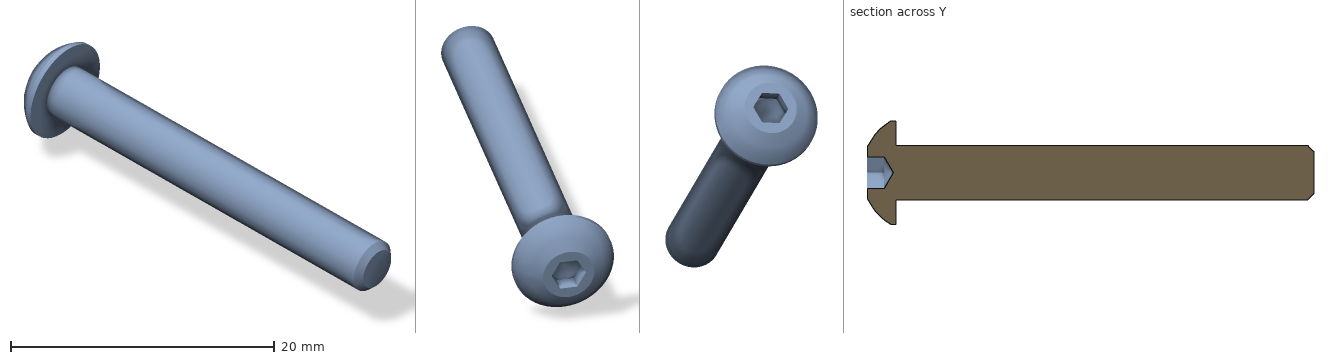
import cadquery as cq
import math

total_length = 33.95
head_diameter = 7.9
head_height = 2.2
head_rim_width = 0.4
head_face_diameter = 4.0
dome_bulge = 0.2

shank_diameter = 4.2
tip_chamfer = 0.5

socket_across_flats = 2.35
socket_depth = 1.3
socket_cone_half_angle = 60.0

middle = total_length / 2
head_start = -middle
head_end = head_start + head_height
rim_start = head_end - head_rim_width
head_radius = head_diameter / 2
face_radius = head_face_diameter / 2
shank_radius = shank_diameter / 2
socket_across_corners = socket_across_flats / math.cos(math.radians(30))


def dome_arc_middle():
    """Point on the dome, pushed outwards from the middle of its chord."""
    run = rim_start - head_start
    rise = head_radius - face_radius
    chord = math.hypot(run, rise)
    x = (head_start + rim_start) / 2 - dome_bulge * rise / chord
    radius = (face_radius + head_radius) / 2 + dome_bulge * run / chord
    return x, radius


def make_body():
    """Button head, shank and chamfered tip, revolved about X."""
    return (
        cq.Workplane("XY")
        .moveTo(head_start, 0)
        .lineTo(head_start, face_radius)
        .threePointArc(dome_arc_middle(), (rim_start, head_radius))
        .lineTo(head_end, head_radius)
        .lineTo(head_end, shank_radius)
        .lineTo(middle - tip_chamfer, shank_radius)
        .lineTo(middle, shank_radius - tip_chamfer)
        .lineTo(middle, 0)
        .close()
        .revolve(360, (0, 0, 0), (1, 0, 0))
    )


def make_socket():
    """Hexagonal key socket with flats facing Z and a drilled conical floor."""
    hexagon = (
        cq.Workplane("YZ", origin=(head_start, 0, 0))
        .polygon(6, socket_across_corners)
        .extrude(socket_depth)
    )
    cone_radius = socket_across_flats / 2
    cone_height = cone_radius / math.tan(math.radians(socket_cone_half_angle))
    floor = cq.Solid.makeCone(
        cone_radius,
        0,
        cone_height,
        pnt=cq.Vector(head_start + socket_depth, 0, 0),
        dir=cq.Vector(1, 0, 0),
    )
    return hexagon.union(cq.Workplane(floor))


result = make_body().cut(make_socket())